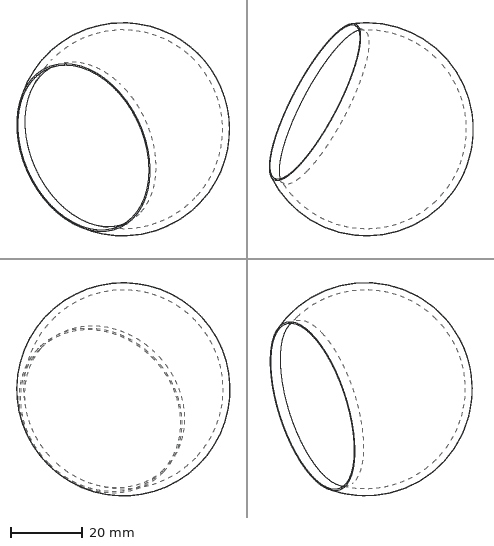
import cadquery as cq
import math

ball_radius = 30.0
wall = 2.0
mouth_offset = 17.0
bore_radius = 24.3

cavity_radius = ball_radius - wall
rim_radius = math.sqrt(ball_radius**2 - mouth_offset**2)
bore_end_offset = math.sqrt(cavity_radius**2 - bore_radius**2)


def arc_middle(radius, start_offset):
    """Middle of the arc from a point start_offset on the -Y side of the centre up to the +Y pole."""
    angle = (math.pi / 2 - math.asin(start_offset / radius)) / 2
    return radius * math.cos(angle), radius * math.sin(angle)


half_section = (
    cq.Workplane("XY")
    .moveTo(bore_radius, -mouth_offset)
    .lineTo(rim_radius, -mouth_offset)
    .threePointArc(arc_middle(ball_radius, mouth_offset), (0, ball_radius))
    .lineTo(0, cavity_radius)
    .threePointArc(arc_middle(cavity_radius, bore_end_offset), (bore_radius, -bore_end_offset))
    .close()
)

result = half_section.revolve(360, (0, 0, 0), (0, 1, 0))